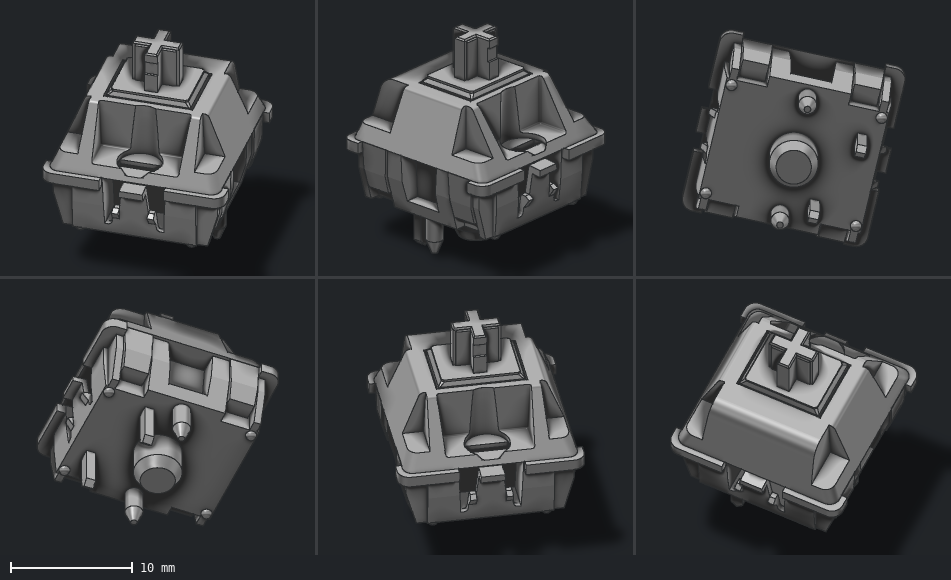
import cadquery as cq


COVER_BASE_Z = 5.48
SHELF_Z = 6.83
COVER_TOP_Z = 10.54
STEM_TOP_Z = 14.72

SIDE_X = 7.02
SIDE_FOOT_X = 6.17
SIDE_BEND_Z = 2.98
CORNER_Y = 6.61
PANEL_HALF_WIDTH = 5.28
PANEL_Y = 7.02
PANEL_FOOT_Y = 6.82
PANEL_BEND_Z = 2.6
PANEL_SLOPE = (PANEL_Y - PANEL_FOOT_Y) / PANEL_BEND_Z
FLANGE_HALF = 7.8
FLANGE_BOTTOM_Z = 4.54
FLANGE_RADIUS = 1.0
FLANGE_GAP_X = 2.76

RECESS_BACK_X = 5.22
GROOVE_INNER_Y = 3.43
GROOVE_OUTER_Y = 5.98
WINDOW_TOP_HALF = 1.96
WINDOW_FLOOR_HALF = 1.72
WINDOW_FLOOR_Z = 1.15
POCKET_TOP_HALF = 2.72
POCKET_FLOOR_HALF = 2.52
POCKET_FLOOR_Z = 0.83
POCKET_BACK_Y = 4.07

TONGUE_THICKNESS = 0.48
TONGUE_TOP_HALF = 0.98
TONGUE_NECK_HALF = 1.25
TONGUE_SHOULDER_HALF = 1.76
TONGUE_ROOT_HALF = 1.93
TONGUE_ROOT_RADIUS = 0.37
TONGUE_ROOT_SINK = 0.19
TONGUE_TOP_Z = 5.02
TAB_TIP_Y = 7.98
TAB_TIP_TOP_Z = 4.89
TAB_TIP_BOTTOM_Z = 4.32
TAB_ROOT_BOTTOM_Z = 4.39
CATCH_TIP_Y = 7.46
CATCH_TIP_Z = 2.3
CATCH_BOTTOM_Z = 1.54

POST_DIAMETER = 4.0
POST_TIP_DIAMETER = 2.89
POST_BOTTOM_Z = -3.39
POST_CONE_Z = -2.39
PEG_DIAMETER = 1.5
PEG_TIP_DIAMETER = 0.54
PEG_CONE_Z = -2.19
PEG_X = 5.07
FOOT_RADIUS = 0.46
FOOT_X = 4.75
FOOT_Y = 6.32

COVER_HALF = 7.3
COVER_TOP_X = 5.22
COVER_TOP_FRONT_Y = -3.82
COVER_TOP_BACK_Y = 5.87
COVER_CORNER_RADIUS = 1.0
COVER_SIDE_RADIUS = 0.5
COVER_FRONT_RADIUS = 0.6
COVER_BACK_RADIUS = 1.5
NOTCH_TOP_X = 4.76
NOTCH_TOP_Y = 3.17
NOTCH_DRAFT = 0.22
CLEARANCE_REACH = 11.11

LAMP_FLOOR_Z = 6.32
LAMP_TOP_HALF = 3.95
LAMP_FLOOR_HALF = 3.7
LAMP_TOP_Y = -3.54
LAMP_FLOOR_Y = -3.78
LAMP_FILLET = 0.25
LAMP_HOLE_DIAMETER = 3.78
LAMP_HOLE_Y = -5.22
LAMP_HOLE_FLOOR_Z = 5.87
LAMP_SLOT_LENGTH = 3.63
LAMP_SLOT_WIDTH = 0.96
LAMP_SLOT_Y = -5.26

LEG_TOP_X = 7.26
LEG_BEND_X = 7.19
LEG_TIP_X = 6.69
LEG_TIP_Z = 1.33
LEG_TIP_HALF = 1.1

OPENING_X = 7.63
OPENING_Y = 5.7
OPENING_DEPTH = 0.5
SKIRT_X = 7.22
SKIRT_Y = 5.6
SKIRT_CORNER = 0.13
PLATFORM_X = 6.6
PLATFORM_Y = 5.04
PLATFORM_CORNER = 0.2
SKIRT_EDGE_Z = 10.61
PLATFORM_EDGE_Z = 10.93
PLATFORM_TOP_Z = 11.11
CROSS_LENGTH = 4.0
CROSS_WIDTH = 1.11
CROSS_CHAMFER = 0.13
RIB_LENGTH = 3.55
RIB_WIDTH = 1.33
RIB_TOP_Z = 14.55
RIB_CHAMFER = 0.11
RIB_CORNER_X = 0.15
RIB_CORNER_Y = 0.04
KEYING_TOP_Z = 13.9
KEYING_BOTTOM_Z = 12.7
KEYING_DEPTH = 0.2

PIN_WIDTH = 1.04
PIN_THICKNESS = 0.81
PIN_SHOULDER_Z = -3.32
PIN_TIP_Z = -3.8
PIN_CENTRES = [(-3.82, 2.54), (2.54, 5.07)]


def block(x_range, y_range, z_range):
    """Box between two limits on each axis."""
    size = [high - low for low, high in (x_range, y_range, z_range)]
    corner = (x_range[0], y_range[0], z_range[0])
    return cq.Workplane("XY").box(*size, centered=False).translate(corner)


def both_sides(feature, mirror_plane):
    """A feature together with its mirror image."""
    return feature.union(feature.mirror(mirror_plane))


def along_x(outline, half_length):
    """Prism along X from a (y, z) outline, centred on X = 0."""
    return cq.Workplane("YZ").polyline(outline).close().extrude(half_length, both=True)


def along_y(outline, half_length):
    """Prism along Y from an (x, z) outline, centred on Y = 0."""
    return cq.Workplane("XZ").polyline(outline).close().extrude(half_length, both=True)


def tapered_block(low_x, low_y, low_z, high_x, high_y, high_z):
    """Solid with flat sides between a low and a high rectangle."""
    front = [(low_x[0], low_z), (low_x[1], low_z), (high_x[1], high_z), (high_x[0], high_z)]
    side = [(low_y[0], low_z), (low_y[1], low_z), (high_y[1], high_z), (high_y[0], high_z)]
    return along_y(front, CLEARANCE_REACH).intersect(along_x(side, CLEARANCE_REACH))


def panel_slope_y(z):
    """Distance from the XZ plane of the sloping end panel at a height."""
    return PANEL_FOOT_Y + PANEL_SLOPE * z




def housing_shell():
    core = along_y(
        [
            (-SIDE_FOOT_X, 0), (SIDE_FOOT_X, 0), (SIDE_X, SIDE_BEND_Z), (SIDE_X, COVER_BASE_Z),
            (-SIDE_X, COVER_BASE_Z), (-SIDE_X, SIDE_BEND_Z),
        ],
        CORNER_Y,
    )
    panels = along_x(
        [
            (-PANEL_FOOT_Y, 0), (PANEL_FOOT_Y, 0), (PANEL_Y, PANEL_BEND_Z), (PANEL_Y, COVER_BASE_Z),
            (-PANEL_Y, COVER_BASE_Z), (-PANEL_Y, PANEL_BEND_Z),
        ],
        PANEL_HALF_WIDTH,
    )
    return core.union(panels).union(corner_flanges())


def corner_flanges():
    height = COVER_BASE_Z - FLANGE_BOTTOM_Z
    plate = (
        cq.Workplane("XY").workplane(offset=FLANGE_BOTTOM_Z)
        .rect(2 * FLANGE_HALF, 2 * FLANGE_HALF).extrude(height)
        .edges("|Z").fillet(FLANGE_RADIUS)
    )
    inside = cq.Workplane("XY").workplane(offset=FLANGE_BOTTOM_Z)
    inside_core = inside.rect(2 * SIDE_X, 2 * CORNER_Y).extrude(height)
    end_gap = inside.rect(2 * FLANGE_GAP_X, 2 * FLANGE_HALF).extrude(height)
    side_gap = inside.rect(2 * FLANGE_HALF, 2 * GROOVE_OUTER_Y).extrude(height)
    return plate.cut(inside_core).cut(end_gap).cut(side_gap)


def side_recesses():
    """Window and two clip grooves on each X side, all with the same back plane."""
    outline = [
        (-WINDOW_FLOOR_HALF, WINDOW_FLOOR_Z), (WINDOW_FLOOR_HALF, WINDOW_FLOOR_Z),
        (WINDOW_TOP_HALF, COVER_BASE_Z), (-WINDOW_TOP_HALF, COVER_BASE_Z),
    ]
    side = block((RECESS_BACK_X, FLANGE_HALF), (-FLANGE_HALF, FLANGE_HALF), (0, COVER_BASE_Z))
    window = along_x(outline, FLANGE_HALF).intersect(side)
    groove = block((RECESS_BACK_X, FLANGE_HALF), (GROOVE_INNER_Y, GROOVE_OUTER_Y), (0, COVER_BASE_Z))
    return both_sides(window.union(both_sides(groove, "XZ")), "YZ")


def end_pockets():
    outline = [
        (-POCKET_FLOOR_HALF, POCKET_FLOOR_Z), (POCKET_FLOOR_HALF, POCKET_FLOOR_Z),
        (POCKET_TOP_HALF, COVER_BASE_Z), (-POCKET_TOP_HALF, COVER_BASE_Z),
    ]
    middle = block(
        (-POCKET_TOP_HALF, POCKET_TOP_HALF), (-POCKET_BACK_Y, POCKET_BACK_Y), (0, COVER_BASE_Z)
    )
    return along_y(outline, FLANGE_HALF).cut(middle)


def tongue_outline():
    """Stepped tongue shape as a prism along Y, with flared round roots on the pocket floor."""
    root_z = POCKET_FLOOR_Z
    foot_z = root_z - TONGUE_ROOT_SINK
    right = [
        (POCKET_FLOOR_HALF, foot_z), (POCKET_FLOOR_HALF, root_z), (TONGUE_ROOT_HALF, root_z),
        (TONGUE_SHOULDER_HALF, PANEL_BEND_Z), (TONGUE_NECK_HALF, PANEL_BEND_Z),
        (TONGUE_TOP_HALF, TONGUE_TOP_Z),
    ]
    left = [(-x, z) for x, z in reversed(right)]
    prism = along_y(right + left, TAB_TIP_Y)
    margin = TONGUE_ROOT_SINK / 2
    reach = TONGUE_ROOT_HALF + margin
    roots = cq.selectors.BoxSelector(
        (-reach, -margin, root_z - margin), (reach, margin, root_z + margin)
    )
    return prism.edges("|Y").edges(roots).fillet(TONGUE_ROOT_RADIUS)


def tongues():
    foot_z = POCKET_FLOOR_Z - TONGUE_ROOT_SINK
    inner_top_y = panel_slope_y(TONGUE_TOP_Z) - TONGUE_THICKNESS
    plate = [
        (-panel_slope_y(foot_z) + TONGUE_THICKNESS, foot_z), (-panel_slope_y(foot_z), foot_z),
        (-panel_slope_y(TAB_ROOT_BOTTOM_Z), TAB_ROOT_BOTTOM_Z), (-TAB_TIP_Y, TAB_TIP_BOTTOM_Z),
        (-TAB_TIP_Y, TAB_TIP_TOP_Z), (-inner_top_y, TONGUE_TOP_Z),
    ]
    catch = [
        (-panel_slope_y(CATCH_BOTTOM_Z), CATCH_BOTTOM_Z), (-CATCH_TIP_Y, CATCH_TIP_Z),
        (-panel_slope_y(PANEL_BEND_Z), PANEL_BEND_Z), (-PANEL_FOOT_Y, PANEL_BEND_Z),
        (-PANEL_FOOT_Y, CATCH_BOTTOM_Z),
    ]
    catches = along_x(catch, TONGUE_ROOT_HALF).cut(
        block((-TONGUE_NECK_HALF, TONGUE_NECK_HALF), (-TAB_TIP_Y, 0), (0, COVER_BASE_Z))
    )
    tongue = along_x(plate, POCKET_FLOOR_HALF).union(catches).intersect(tongue_outline())
    return both_sides(tongue, "XZ")


def round_post(diameter, tip_diameter, cone_z, bottom_z):
    """Round post hanging from Z = 0, ending in a cone."""
    return (
        cq.Workplane("XZ")
        .polyline([
            (0, 0), (diameter / 2, 0), (diameter / 2, cone_z), (tip_diameter / 2, bottom_z), (0, bottom_z),
        ])
        .close().revolve(360, (0, 0), (0, 1))
    )


def make_housing():
    housing = housing_shell().cut(side_recesses()).cut(end_pockets()).union(tongues())
    housing = housing.union(round_post(POST_DIAMETER, POST_TIP_DIAMETER, POST_CONE_Z, POST_BOTTOM_Z))
    peg = round_post(PEG_DIAMETER, PEG_TIP_DIAMETER, PEG_CONE_Z, POST_BOTTOM_Z)
    for side in (-1, 1):
        housing = housing.union(peg.translate((side * PEG_X, 0, 0)))
    for x in (-FOOT_X, FOOT_X):
        for y in (-FOOT_Y, FOOT_Y):
            foot = cq.Workplane("XY").sphere(FOOT_RADIUS, angle2=0).translate((x, y, 0))
            housing = housing.union(foot)
    return housing




def hood_block():
    """Sharp-edged hood from the base of the cover to its top."""
    return tapered_block(
        (-COVER_HALF, COVER_HALF), (-COVER_HALF, COVER_HALF), COVER_BASE_Z,
        (-COVER_TOP_X, COVER_TOP_X), (COVER_TOP_FRONT_Y, COVER_TOP_BACK_Y), COVER_TOP_Z,
    )


def hood_layer(bottom_z, top_z):
    """Slab over the whole cover between two heights."""
    return block((-COVER_HALF, COVER_HALF), (-COVER_HALF, COVER_HALF), (bottom_z, top_z))


def hood_skirt():
    """Part of the hood below the corner shelves, with round corners."""
    rounded = hood_block().edges("not #Z").fillet(COVER_CORNER_RADIUS)
    return rounded.intersect(hood_layer(COVER_BASE_Z, SHELF_Z))


def hood_crown():
    """Part of the hood above the shelves: notched corners and rounded top edges."""
    notch = tapered_block(
        (NOTCH_TOP_X + NOTCH_DRAFT, COVER_HALF), (NOTCH_TOP_Y + NOTCH_DRAFT, COVER_HALF), SHELF_Z,
        (NOTCH_TOP_X, COVER_HALF), (NOTCH_TOP_Y, COVER_HALF), COVER_TOP_Z,
    )
    crown = hood_block().faces(">Z").edges(">Y").fillet(COVER_BACK_RADIUS)
    crown = crown.intersect(hood_layer(SHELF_Z, COVER_TOP_Z))
    crown = crown.cut(both_sides(both_sides(notch, "XZ"), "YZ"))
    crown = crown.faces(">Z").edges("<Y").fillet(COVER_FRONT_RADIUS)
    return crown.faces(">Z").edges("<X or >X").fillet(COVER_SIDE_RADIUS)


def lamp_recess():
    recess = tapered_block(
        (-LAMP_FLOOR_HALF, LAMP_FLOOR_HALF), (-CLEARANCE_REACH, LAMP_FLOOR_Y), LAMP_FLOOR_Z,
        (-LAMP_TOP_HALF, LAMP_TOP_HALF), (-CLEARANCE_REACH, LAMP_TOP_Y), COVER_TOP_Z,
    )
    back_edges = recess.faces(">Y").edges("not >Z")
    floor_edges = recess.faces("<Z").edges("|Y")
    return recess.newObject(back_edges.vals() + floor_edges.vals()).fillet(LAMP_FILLET)


def lamp_hole():
    hole = (
        cq.Workplane("XY", origin=(0, LAMP_HOLE_Y, LAMP_HOLE_FLOOR_Z))
        .circle(LAMP_HOLE_DIAMETER / 2).extrude(COVER_TOP_Z - LAMP_HOLE_FLOOR_Z)
    )
    slot = (
        cq.Workplane("XY", origin=(0, LAMP_SLOT_Y, COVER_BASE_Z))
        .rect(LAMP_SLOT_LENGTH, LAMP_SLOT_WIDTH).extrude(LAMP_HOLE_FLOOR_Z - COVER_BASE_Z)
    )
    return hole.union(slot)


def cover_legs():
    centre_y = (GROOVE_INNER_Y + GROOVE_OUTER_Y) / 2
    face = [
        (GROOVE_INNER_Y, COVER_BASE_Z), (GROOVE_OUTER_Y, COVER_BASE_Z),
        (centre_y + LEG_TIP_HALF, LEG_TIP_Z), (centre_y - LEG_TIP_HALF, LEG_TIP_Z),
    ]
    profile = [
        (RECESS_BACK_X, COVER_BASE_Z), (LEG_TOP_X, COVER_BASE_Z), (LEG_BEND_X, SIDE_BEND_Z),
        (LEG_TIP_X, LEG_TIP_Z), (RECESS_BACK_X, LEG_TIP_Z),
    ]
    leg = along_x(face, COVER_HALF).intersect(along_y(profile, COVER_HALF))
    return both_sides(both_sides(leg, "XZ"), "YZ")


def make_cover():
    opening = (
        cq.Workplane("XY").workplane(offset=COVER_TOP_Z - OPENING_DEPTH)
        .rect(OPENING_X, OPENING_Y).extrude(OPENING_DEPTH)
    )
    hood = hood_skirt().union(hood_crown())
    return hood.cut(lamp_recess()).cut(lamp_hole()).cut(opening).union(cover_legs())




def cut_corner_rectangle(length, width, corner_x, corner_y):
    """Corner points of a rectangle with its corners cut off."""
    x = length / 2
    y = width / 2
    return [
        (-x + corner_x, -y), (x - corner_x, -y), (x, -y + corner_y), (x, y - corner_y),
        (x - corner_x, y), (-x + corner_x, y), (-x, y - corner_y), (-x, -y + corner_y),
    ]


def stem_platform():
    """Base in the cover opening, a sloping skirt above it and the flat platform on top."""
    skirt_outline = cut_corner_rectangle(SKIRT_X, SKIRT_Y, SKIRT_CORNER, SKIRT_CORNER)
    platform_outline = cut_corner_rectangle(PLATFORM_X, PLATFORM_Y, PLATFORM_CORNER, PLATFORM_CORNER)
    base = (
        cq.Workplane("XY").workplane(offset=COVER_TOP_Z - OPENING_DEPTH)
        .polyline(skirt_outline).close().extrude(OPENING_DEPTH + SKIRT_EDGE_Z - COVER_TOP_Z)
    )
    skirt = (
        cq.Workplane("XY").workplane(offset=SKIRT_EDGE_Z).polyline(skirt_outline).close()
        .workplane(offset=PLATFORM_EDGE_Z - SKIRT_EDGE_Z).polyline(platform_outline).close()
        .loft(ruled=True)
    )
    platform = (
        cq.Workplane("XY").workplane(offset=PLATFORM_EDGE_Z)
        .polyline(platform_outline).close().extrude(PLATFORM_TOP_Z - PLATFORM_EDGE_Z)
    )
    return base.union(skirt).union(platform)


def stem_cross():
    foot = cq.Workplane("XY").workplane(offset=PLATFORM_TOP_Z)
    height = STEM_TOP_Z - PLATFORM_TOP_Z
    cross = foot.rect(CROSS_LENGTH, CROSS_WIDTH).extrude(height)
    cross = cross.union(foot.rect(CROSS_WIDTH, CROSS_LENGTH).extrude(height))
    cross = cross.faces(">Z").chamfer(CROSS_CHAMFER)
    rib_outline = cut_corner_rectangle(RIB_LENGTH, RIB_WIDTH, RIB_CORNER_X, RIB_CORNER_Y)
    rib = foot.polyline(rib_outline).close().extrude(RIB_TOP_Z - PLATFORM_TOP_Z)
    rib = rib.faces(">Z").chamfer(RIB_CHAMFER)
    arm_end_y = -CROSS_LENGTH / 2
    keying = block(
        (-CROSS_WIDTH / 2, CROSS_WIDTH / 2), (arm_end_y, arm_end_y + KEYING_DEPTH),
        (KEYING_BOTTOM_Z, KEYING_TOP_Z),
    )
    return cross.union(rib).cut(keying)


def make_stem():
    return stem_platform().union(stem_cross())




def make_pin(x, y):
    """Flat pin hanging from the housing, pointed across its width."""
    half = PIN_WIDTH / 2
    outline = [(-half, 0), (half, 0), (half, PIN_SHOULDER_Z), (0, PIN_TIP_Z), (-half, PIN_SHOULDER_Z)]
    return along_y(outline, PIN_THICKNESS / 2).translate((x, y, 0))


housing = make_housing()
cover = make_cover()
stem = make_stem()
pins = [make_pin(x, y).val() for x, y in PIN_CENTRES]

result = cq.Compound.makeCompound([housing.val(), cover.val(), stem.val(), *pins])